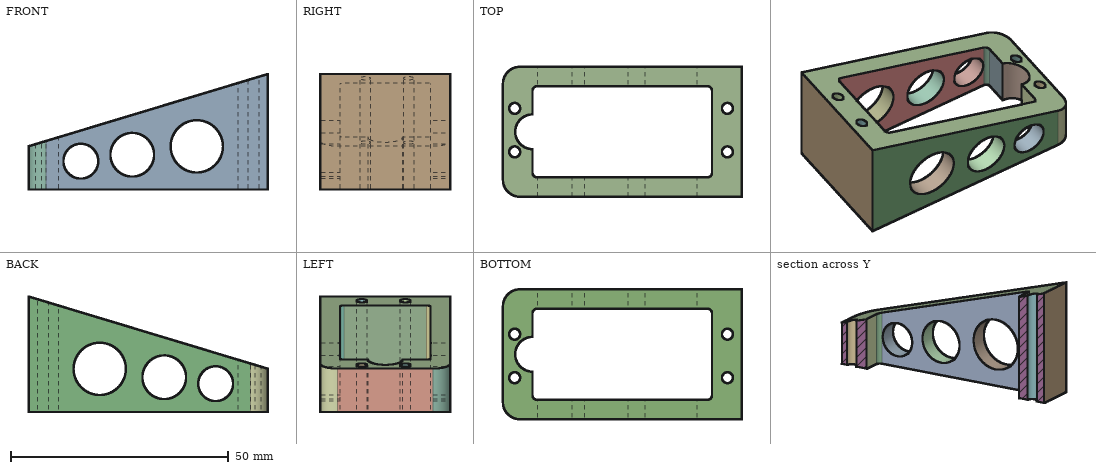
import cadquery as cq

length = 55.0
width = 30.0
low_height = 10.0
high_height = 26.6
corner_radius = 4.0

window_start = 6.9
window_end = 48.1
window_width = 20.9
window_corner_radius = 1.0
notch_diameter = 8.0

screw_diameter = 2.5
screw_spacing = 10.0
screw_pair_offset = 0.4
low_screw_x = 2.75
high_screw_x = 51.7

side_holes = [
    (12.0, 6.55, 8.0),
    (23.8, 8.05, 10.0),
    (38.65, 9.95, 12.0),
]


def wedge_body():
    """Sloping block with rounded vertical edges at the low end."""
    profile = [(0, 0), (length, 0), (length, high_height), (0, low_height)]
    block = cq.Workplane("XZ").polyline(profile).close().extrude(width / 2, both=True)
    return block.edges("|Z and <X").fillet(corner_radius)


def window():
    """Rounded rectangular opening with a round notch in its low-end side."""
    opening = (
        cq.Workplane("XY")
        .center((window_start + window_end) / 2, 0)
        .rect(window_end - window_start, window_width)
        .extrude(high_height)
        .edges("|Z")
        .fillet(window_corner_radius)
    )
    notch = cq.Workplane("XY").center(window_start, 0).circle(notch_diameter / 2).extrude(high_height)
    return opening.union(notch)


def screw_holes():
    """Two pairs of vertical through holes."""
    screw_ys = [screw_pair_offset + side * screw_spacing / 2 for side in (-1, 1)]
    places = [(x, y) for x in (low_screw_x, high_screw_x) for y in screw_ys]
    return cq.Workplane("XY").pushPoints(places).circle(screw_diameter / 2).extrude(high_height)


def side_hole(x, z, diameter):
    """Cylinder along Y that passes through both side walls."""
    return cq.Workplane("XZ").center(x, z).circle(diameter / 2).extrude(width / 2, both=True)


result = wedge_body().cut(window()).cut(screw_holes())
for x, z, diameter in side_holes:
    result = result.cut(side_hole(x, z, diameter))